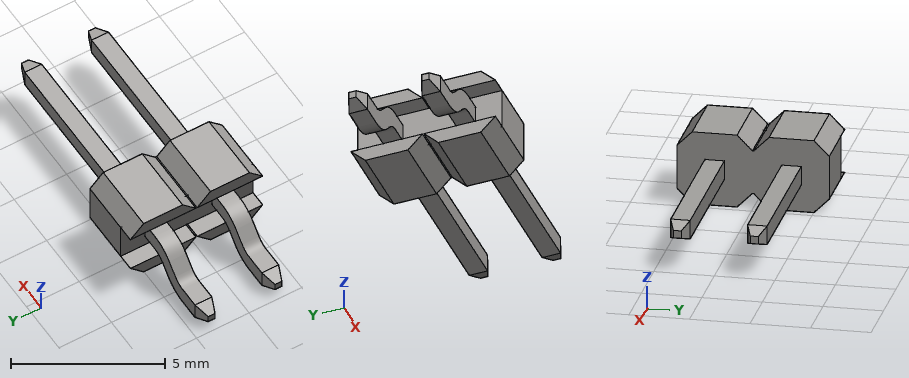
import cadquery as cq
import math


pitch = 2.54
pin_count = 2
unit_size = 2.5
chamfer = 0.51
housing_start = 2.99
recess_depth = 0.6
mid_height = unit_size - 2 * chamfer
housing_width = (pin_count - 1) * pitch + unit_size

total_length = 11.5
pin_size = 0.64
tip_length = 0.51
tip_size = 0.26
bend_radius = 0.92
bend_start = 1.28
bend_angle = math.radians(45)
tail_z = (pin_size - unit_size) / 2
slope_rise = -tail_z - 2 * bend_radius * (1 - math.cos(bend_angle))
slope_run = slope_rise / math.tan(bend_angle)
bend_end = bend_start + 2 * bend_radius * math.sin(bend_angle) + slope_run

pin_positions = [(i - (pin_count - 1) / 2) * pitch for i in range(pin_count)]


def make_housing_unit(y):
    """Block with its four long edges chamfered, around one pin."""
    return (
        cq.Workplane("XY")
        .box(unit_size, unit_size, unit_size)
        .edges("|X")
        .chamfer(chamfer)
        .translate((housing_start + unit_size / 2, y, 0))
    )


def make_housing():
    """Row of units on a common core, recessed at the rear and pierced by the pin holes."""
    core = (
        cq.Workplane("XY")
        .box(unit_size, housing_width, mid_height)
        .translate((housing_start + unit_size / 2, 0, 0))
    )
    housing = core
    for y in pin_positions:
        housing = housing.union(make_housing_unit(y))

    recess = (
        cq.Workplane("XY")
        .box(recess_depth, housing_width, mid_height)
        .translate((housing_start + recess_depth / 2, 0, 0))
    )
    housing = housing.cut(recess)

    for y in pin_positions:
        hole = (
            cq.Workplane("XY")
            .box(unit_size, pin_size, pin_size)
            .translate((housing_start + unit_size / 2, y, 0))
        )
        housing = housing.cut(hole)
    return housing


def make_tip(x, z, direction):
    """Square taper that starts at x and narrows toward direction (+1 or -1 along X)."""
    plane = cq.Plane(origin=(x, 0, z), xDir=(0, 1, 0), normal=(direction, 0, 0))
    return (
        cq.Workplane(plane)
        .rect(pin_size, pin_size)
        .workplane(offset=tip_length)
        .rect(tip_size, tip_size)
        .loft(ruled=True)
    )


def lower_bend_point(radius, angle):
    """XZ point on the bend that turns the tail upward, centred above the tail."""
    return (bend_start + radius * math.sin(angle), tail_z + bend_radius - radius * math.cos(angle))


def upper_bend_point(radius, angle):
    """XZ point on the bend that turns the slope back to level, centred below the contact."""
    return (bend_end - radius * math.sin(angle), radius * math.cos(angle) - bend_radius)


def make_shank():
    """Constant-thickness crank: level tail, bend up, slope, bend back, level contact."""
    half_size = pin_size / 2
    inner_radius = bend_radius - half_size
    outer_radius = bend_radius + half_size
    half_angle = bend_angle / 2
    contact_end = total_length - tip_length
    return (
        cq.Workplane("XZ")
        .moveTo(tip_length, tail_z + half_size)
        .lineTo(*lower_bend_point(inner_radius, 0))
        .threePointArc(
            lower_bend_point(inner_radius, half_angle),
            lower_bend_point(inner_radius, bend_angle),
        )
        .lineTo(*upper_bend_point(outer_radius, bend_angle))
        .threePointArc(
            upper_bend_point(outer_radius, half_angle),
            upper_bend_point(outer_radius, 0),
        )
        .lineTo(contact_end, half_size)
        .lineTo(contact_end, -half_size)
        .lineTo(*upper_bend_point(inner_radius, 0))
        .threePointArc(
            upper_bend_point(inner_radius, half_angle),
            upper_bend_point(inner_radius, bend_angle),
        )
        .lineTo(*lower_bend_point(outer_radius, bend_angle))
        .threePointArc(
            lower_bend_point(outer_radius, half_angle),
            lower_bend_point(outer_radius, 0),
        )
        .lineTo(tip_length, tail_z - half_size)
        .close()
        .extrude(half_size, both=True)
    )


def make_pin(y):
    """Cranked square pin with a tapered tip at each end."""
    tail_tip = make_tip(tip_length, tail_z, -1)
    contact_tip = make_tip(total_length - tip_length, 0, 1)
    return make_shank().union(tail_tip).union(contact_tip).translate((0, y, 0))


housing = make_housing()
pins = [make_pin(y) for y in pin_positions]

result = cq.Compound.makeCompound([housing.solids().val(), *[pin.solids().val() for pin in pins]])